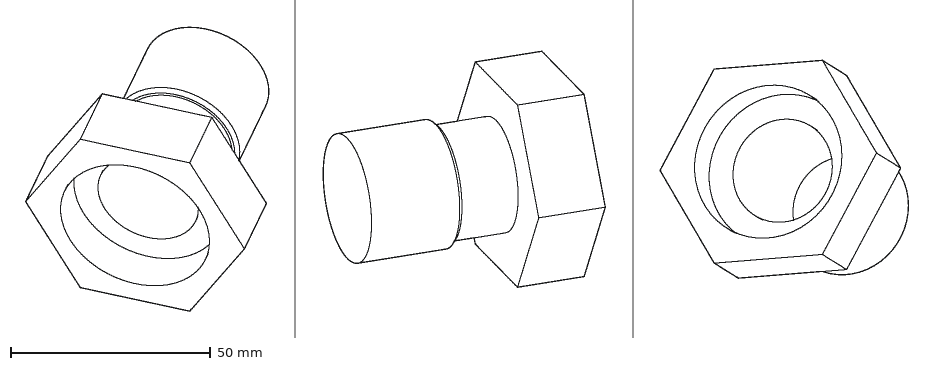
import math

import cadquery as cq

TOTAL_LENGTH = 58.2
FRONT_Y = -TOTAL_LENGTH / 2
BACK_Y = TOTAL_LENGTH / 2

NUT_ACROSS_FLATS = 50.0
NUT_ACROSS_CORNERS = NUT_ACROSS_FLATS / math.cos(math.radians(30))
NUT_LENGTH = 18.0
NUT_BORE_DIAMETER = 39.3
NUT_BACK_WALL = 3.0
NUT_BACK_Y = FRONT_Y + NUT_LENGTH
SHOULDER_Y = NUT_BACK_Y - NUT_BACK_WALL

FLANGE_DIAMETER = 39.2
FLANGE_FACE_DEPTH = 10.7
NECK_DIAMETER = 29.6
SPIGOT_DIAMETER = 33.0
SPIGOT_TAPER_LENGTH = 1.0
SPIGOT_NOSE_DIAMETER = SPIGOT_DIAMETER - 2 * SPIGOT_TAPER_LENGTH
SPIGOT_LENGTH = 24.8
TAIL_BORE_DIAMETER = 26.5
TAIL_END_WALL = 3.0
FLANGE_FACE_Y = FRONT_Y + FLANGE_FACE_DEPTH
SPIGOT_FRONT_Y = BACK_Y - SPIGOT_LENGTH


def cylinder(diameter, y_start, y_end):
    """Solid cylinder along Y."""
    plane = cq.Workplane("XZ", origin=(0, y_start, 0))
    return plane.circle(diameter / 2).extrude(y_start - y_end)


def make_nut():
    """Hexagonal nut with a wide front bore and a neck hole through its back wall."""
    plane = cq.Workplane("XZ", origin=(0, FRONT_Y, 0))
    blank = plane.polygon(6, NUT_ACROSS_CORNERS).extrude(-NUT_LENGTH)
    front_bore = cylinder(NUT_BORE_DIAMETER, FRONT_Y, SHOULDER_Y)
    neck_hole = cylinder(NECK_DIAMETER, SHOULDER_Y, NUT_BACK_Y)
    return blank.cut(front_bore).cut(neck_hole)


def make_tailpiece():
    """Turned tailpiece: flange held in the nut, neck, tapered spigot and blind front bore."""
    outline = [
        (0, FLANGE_FACE_Y),
        (FLANGE_DIAMETER / 2, FLANGE_FACE_Y),
        (FLANGE_DIAMETER / 2, SHOULDER_Y),
        (NECK_DIAMETER / 2, SHOULDER_Y),
        (NECK_DIAMETER / 2, SPIGOT_FRONT_Y),
        (SPIGOT_NOSE_DIAMETER / 2, SPIGOT_FRONT_Y),
        (SPIGOT_DIAMETER / 2, SPIGOT_FRONT_Y + SPIGOT_TAPER_LENGTH),
        (SPIGOT_DIAMETER / 2, BACK_Y),
        (0, BACK_Y),
    ]
    turned = cq.Workplane("XY").polyline(outline).close().revolve(360, (0, 0, 0), (0, 1, 0))
    return turned.cut(cylinder(TAIL_BORE_DIAMETER, FLANGE_FACE_Y, BACK_Y - TAIL_END_WALL))


nut = make_nut()
tailpiece = make_tailpiece()

result = cq.Compound.makeCompound([nut.val(), tailpiece.val()])